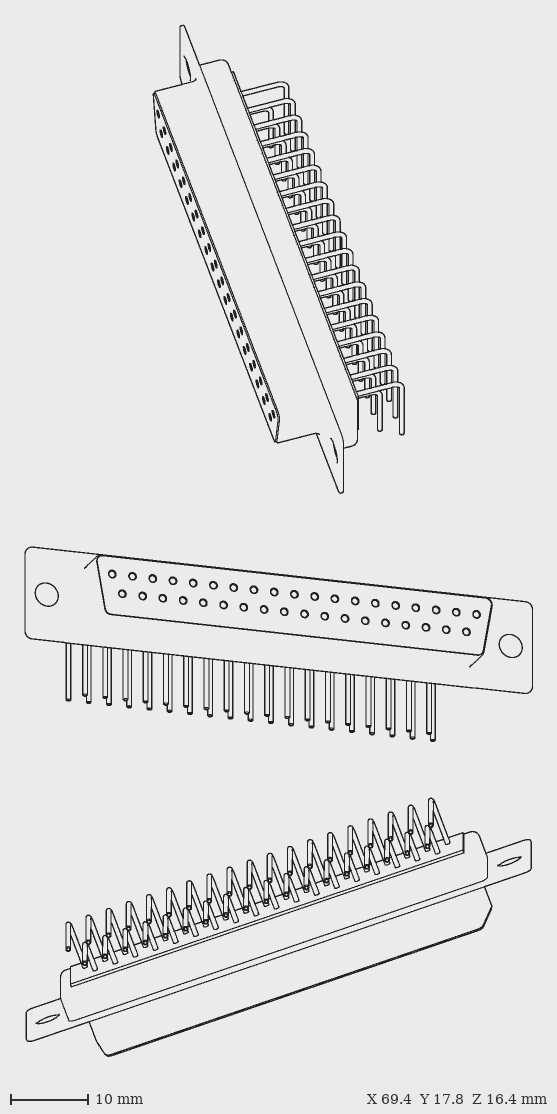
import cadquery as cq
import math


FLANGE_WIDTH = 69.4
FLANGE_HEIGHT = 12.5
FLANGE_THICKNESS = 0.5
FLANGE_CORNER_RADIUS = 1.0
FLANGE_EDGE_RADIUS = 0.15
MOUNT_HOLE_DIAMETER = 3.2
MOUNT_HOLE_SPACING = 63.5

SHELL_WIDTH = 54.4
SHELL_HEIGHT = 8.3
SHELL_LENGTH = 5.8
SHELL_SIDE_ANGLE = 10.0
SHELL_CORNER_RADIUS = 1.0
SHELL_ROOT_RADIUS = 0.6
ROOT_TOLERANCE = 0.01
SHELL_FRONT_RADIUS = 0.2
FRONT_INSERT_PROTRUSION = 0.2
FRONT_INSERT_INSET = 0.2

HOUSING_WIDTH = 57.6
HOUSING_HEIGHT = 10.2
HOUSING_LENGTH = 4.0
HOUSING_EDGE_RADIUS = 1.0
REAR_INSERT_WIDTH = 54.0
REAR_INSERT_HEIGHT = 7.3
REAR_INSERT_PROTRUSION = 0.4

CONTACT_PITCH = 2.77
ROW_SPACING = 2.54
UPPER_COUNT = 19
LOWER_COUNT = UPPER_COUNT - 1
SOCKET_DIAMETER = 0.85
SOCKET_DEPTH = 5.0
SOCKET_CHAMFER = 0.1
SOCKET_RISE = 0.28
PIN_DIAMETER = 0.64
PIN_BEND_RADIUS = 1.25
PIN_TIP_CHAMFER = 0.12
OVERALL_LENGTH = 17.76
OVERALL_HEIGHT = 16.4

SHELL_FRONT_Y = -SHELL_LENGTH
FRONT_Y = SHELL_FRONT_Y - FRONT_INSERT_PROTRUSION
HOUSING_BACK_Y = FLANGE_THICKNESS + HOUSING_LENGTH
PIN_START_Y = FLANGE_THICKNESS + HOUSING_LENGTH / 2
PIN_TIP_Z = FLANGE_HEIGHT / 2 - OVERALL_HEIGHT
UPPER_PIN_Y = FRONT_Y + OVERALL_LENGTH - PIN_DIAMETER / 2
LOWER_PIN_Y = UPPER_PIN_Y - ROW_SPACING

CONTACT_ROWS = (
    (UPPER_COUNT, ROW_SPACING / 2, UPPER_PIN_Y),
    (LOWER_COUNT, -ROW_SPACING / 2, LOWER_PIN_Y),
)


def block(width, height, front_y, length):
    """Box centred on X and Z that runs from front_y towards +Y."""
    return cq.Workplane("XY").box(width, length, height).translate((0, front_y + length / 2, 0))


def row_positions(count):
    """X positions of one centred row of contacts."""
    return [(i - (count - 1) / 2) * CONTACT_PITCH for i in range(count)]


def cylinders(points, diameter, front_y, length, taper=0):
    """Cylinders (cones if tapered) at the given (x, z) points that run from front_y towards +Y."""
    plane = cq.Workplane("XZ", origin=(0, front_y, 0))
    return plane.pushPoints(points).circle(diameter / 2).extrude(-length, taper=taper)


def make_flange():
    plate = block(FLANGE_WIDTH, FLANGE_HEIGHT, 0, FLANGE_THICKNESS)
    plate = plate.edges("|Y").fillet(FLANGE_CORNER_RADIUS)
    mount_points = [(side * MOUNT_HOLE_SPACING / 2, 0) for side in (-1, 1)]
    plate = plate.cut(cylinders(mount_points, MOUNT_HOLE_DIAMETER, 0, FLANGE_THICKNESS))
    return plate.faces("<Y or >Y").edges().fillet(FLANGE_EDGE_RADIUS)


def d_profile(width, height, corner_radius, back_y, length):
    """D-shaped prism from back_y towards -Y, widest at the top, with rounded corners."""
    lean = math.radians(SHELL_SIDE_ANGLE)
    corner_trim = corner_radius * ((1 + math.sin(lean)) / math.cos(lean) - 1)
    top_half = width / 2 + corner_trim
    bottom_half = top_half - height * math.tan(lean)
    half_height = height / 2
    outline = [
        (-top_half, half_height),
        (top_half, half_height),
        (bottom_half, -half_height),
        (-bottom_half, -half_height),
    ]
    prism = cq.Workplane("XZ", origin=(0, back_y, 0)).polyline(outline).close().extrude(length)
    return prism.edges("|Y").fillet(corner_radius)


def make_shell():
    shell = d_profile(SHELL_WIDTH, SHELL_HEIGHT, SHELL_CORNER_RADIUS, 0, SHELL_LENGTH)
    return shell.faces("<Y").edges().fillet(SHELL_FRONT_RADIUS)


def make_front_insert():
    """Socket insulator standing slightly out of the shell's front."""
    return d_profile(
        SHELL_WIDTH - 2 * FRONT_INSERT_INSET,
        SHELL_HEIGHT - 2 * FRONT_INSERT_INSET,
        SHELL_CORNER_RADIUS - FRONT_INSERT_INSET,
        SHELL_FRONT_Y,
        FRONT_INSERT_PROTRUSION,
    )


def make_housing():
    housing = block(HOUSING_WIDTH, HOUSING_HEIGHT, FLANGE_THICKNESS, HOUSING_LENGTH)
    housing = housing.edges("|Y").fillet(HOUSING_EDGE_RADIUS)
    return housing.faces(">Y").edges().fillet(HOUSING_EDGE_RADIUS)


def make_rear_insert():
    return block(REAR_INSERT_WIDTH, REAR_INSERT_HEIGHT, HOUSING_BACK_Y, REAR_INSERT_PROTRUSION)


def make_pin(x, z, leg_y):
    """Round pin that leaves the back and bends down to the tip."""
    bend_offset = PIN_BEND_RADIUS * math.sqrt(0.5)
    bend_y = leg_y - PIN_BEND_RADIUS
    bend_z = z - PIN_BEND_RADIUS
    path = (
        cq.Workplane("YZ", origin=(x, 0, 0))
        .moveTo(PIN_START_Y, z)
        .lineTo(bend_y, z)
        .threePointArc((bend_y + bend_offset, bend_z + bend_offset), (leg_y, bend_z))
        .lineTo(leg_y, PIN_TIP_Z)
    )
    section = cq.Workplane("XZ", origin=(x, PIN_START_Y, z)).circle(PIN_DIAMETER / 2)
    return section.sweep(path).faces("<Z").edges().chamfer(PIN_TIP_CHAMFER)


def make_body():
    body = make_flange().union(make_shell())
    near_shell = cq.selectors.BoxSelector(
        (-SHELL_WIDTH / 2 - ROOT_TOLERANCE, -ROOT_TOLERANCE, -SHELL_HEIGHT / 2 - ROOT_TOLERANCE),
        (SHELL_WIDTH / 2 + ROOT_TOLERANCE, ROOT_TOLERANCE, SHELL_HEIGHT / 2 + ROOT_TOLERANCE),
    )
    body = body.edges(near_shell).fillet(SHELL_ROOT_RADIUS)
    return body.union(make_front_insert()).union(make_housing()).union(make_rear_insert())


def cut_sockets(body):
    """Blind contact holes in the front insulator, each with a chamfered mouth."""
    mouth_diameter = SOCKET_DIAMETER + 2 * SOCKET_CHAMFER
    for count, z, _ in CONTACT_ROWS:
        points = [(x, z + SOCKET_RISE) for x in row_positions(count)]
        sockets = cylinders(points, SOCKET_DIAMETER, FRONT_Y, SOCKET_DEPTH)
        mouths = cylinders(points, mouth_diameter, FRONT_Y, SOCKET_CHAMFER, taper=45)
        body = body.cut(sockets).cut(mouths)
    return body


def add_pins(body):
    pins = []
    for count, z, leg_y in CONTACT_ROWS:
        pins += [make_pin(x, z, leg_y).val() for x in row_positions(count)]
    return cq.Workplane(body.val().fuse(*pins))


result = add_pins(cut_sockets(make_body()))